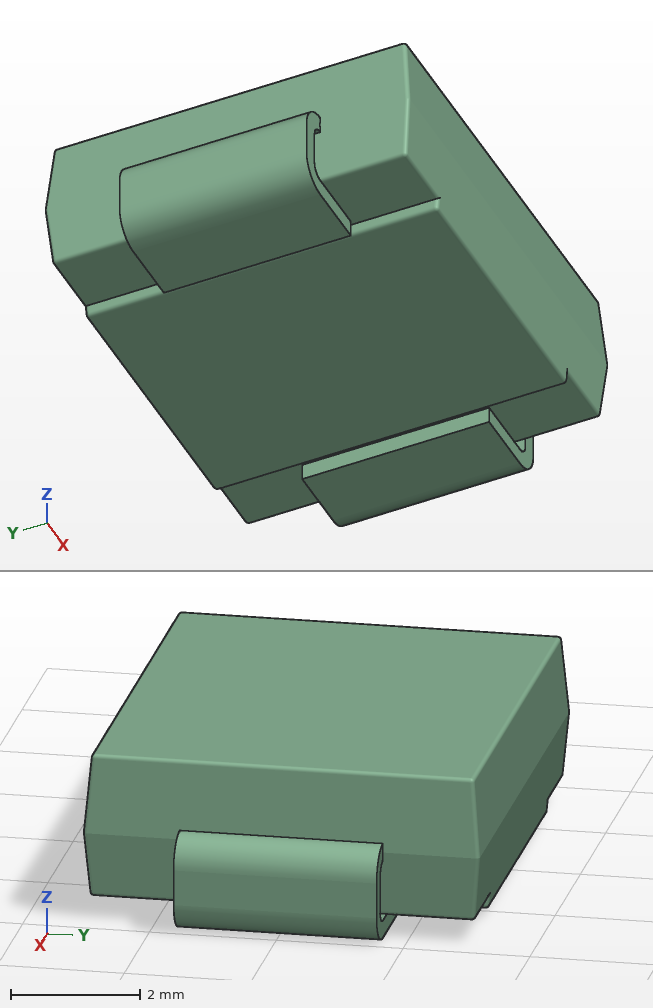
import cadquery as cq
import math

overall_length = 8.15
body_width = 6.25
overall_height = 2.66

body_length = 7.19
parting_height = 1.4
draft_angle = 5.0
pedestal_length = 4.68
pedestal_bottom = 0.15
notch_ceiling = 0.35
edge_radius = 0.065
position_tolerance = 0.001

band_start = 2.05
band_end = 2.74
band_depth = 0.04

lead_thickness = 0.285
lead_width = 3.2
lead_outer_radius = 0.49
lead_foot_end = 2.485
lead_embed = 0.41


def drafted_half(height):
    """Half of the body, tapering away from the parting plane by a signed height."""
    return (
        cq.Workplane("XY", origin=(0, 0, parting_height))
        .rect(body_length, body_width)
        .extrude(height, taper=draft_angle)
    )


def make_upper_body():
    """Upper half, rounded everywhere except around the parting plane."""
    return drafted_half(overall_height - parting_height).edges("not <Z").fillet(edge_radius)


def is_inner_corner(point):
    """True on the edges where the pedestal walls meet the notch ceilings."""
    on_wall = abs(abs(point.x) - pedestal_length / 2) < position_tolerance
    on_ceiling = abs(point.z - notch_ceiling) < position_tolerance
    return on_wall and on_ceiling


def make_lower_body():
    """Lower half with a notch at each end, leaving a pedestal across the full width."""
    lower = drafted_half(pedestal_bottom - parting_height)
    notch_length = (body_length - pedestal_length) / 2
    notch_height = notch_ceiling - pedestal_bottom
    notch = cq.Workplane("XY").box(notch_length, body_width, notch_height)
    for side in (-1, 1):
        notch_x = side * (pedestal_length + notch_length) / 2
        lower = lower.cut(notch.translate((notch_x, 0, pedestal_bottom + notch_height / 2)))
    rounded_edges = [
        edge for edge in lower.edges("not >Z").vals()
        if not is_inner_corner(edge.Center())
    ]
    return lower.newObject(rounded_edges).fillet(edge_radius)


def make_lead():
    """C-shaped strip lead on the -X side, running from the body to its foot."""
    outer = -overall_length / 2
    inner = outer + lead_thickness
    top = parting_height + lead_thickness / 2
    bend_x = outer + lead_outer_radius
    inner_radius = lead_outer_radius - lead_thickness
    root_x = -body_length / 2 + lead_embed
    upper_bend_z = top - lead_outer_radius
    return (
        cq.Workplane("XZ")
        .moveTo(root_x, top)
        .lineTo(bend_x, top)
        .radiusArc((outer, upper_bend_z), -lead_outer_radius)
        .lineTo(outer, lead_outer_radius)
        .radiusArc((bend_x, 0), -lead_outer_radius)
        .lineTo(-lead_foot_end, 0)
        .lineTo(-lead_foot_end, lead_thickness)
        .lineTo(bend_x, lead_thickness)
        .radiusArc((inner, lead_outer_radius), inner_radius)
        .lineTo(inner, upper_bend_z)
        .radiusArc((bend_x, top - lead_thickness), inner_radius)
        .lineTo(root_x, top - lead_thickness)
        .close()
        .extrude(lead_width / 2, both=True)
    )


def make_band():
    """Shallow block whose edges divide the top face without changing its height."""
    top_taper = (overall_height - parting_height) * math.tan(math.radians(draft_angle))
    fillet_setback = edge_radius * math.tan(math.radians((90 - draft_angle) / 2))
    band_width = body_width - 2 * (top_taper + fillet_setback)
    return cq.Workplane("XY").box(band_end - band_start, band_width, band_depth).translate(
        ((band_start + band_end) / 2, 0, overall_height - band_depth / 2)
    )


lead = make_lead()
result = (
    make_upper_body()
    .union(make_lower_body())
    .union(lead)
    .union(lead.mirror("YZ"))
    .union(make_band(), clean=False)
)